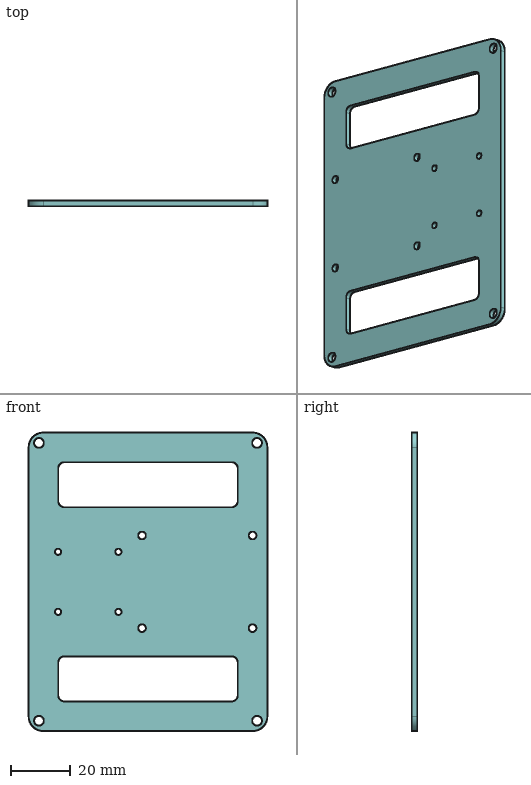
import cadquery as cq

WIDTH = 80.0
HEIGHT = 100.0
THICKNESS = 2.0
CORNER_RADIUS = 5.0

WINDOW_WIDTH = 60.0
WINDOW_HEIGHT = 15.0
WINDOW_RADIUS = 2.0
WINDOW_OFFSET_Z = 32.5

CORNER_HOLE_DIAMETER = 3.2
CORNER_HOLE_INSET = 3.5
CORNER_SPACING_X = WIDTH - 2 * CORNER_HOLE_INSET
CORNER_SPACING_Z = HEIGHT - 2 * CORNER_HOLE_INSET

LARGE_BOARD_HOLE_DIAMETER = 2.5
LARGE_BOARD_SPACING_X = 37.0
LARGE_BOARD_SPACING_Z = 31.0
LARGE_BOARD_CENTER_X = 16.5

SMALL_BOARD_HOLE_DIAMETER = 2.0
SMALL_BOARD_SPACING_X = 20.2
SMALL_BOARD_SPACING_Z = 20.1
SMALL_BOARD_CENTER_X = -20.0


def rounded_block(width, height, radius, center_z=0.0):
    """Plate-thick block in the XZ plane with rounded corners."""
    block = cq.Workplane("XY").box(width, THICKNESS, height)
    return block.edges("|Y").fillet(radius).translate((0, 0, center_z))


def hole_pattern(diameter, spacing_x, spacing_z, center_x=0.0):
    """Four through-hole cutters on a rectangle centred at mid-height."""
    return (
        cq.Workplane("XZ", origin=(center_x, THICKNESS / 2, 0))
        .rect(spacing_x, spacing_z, forConstruction=True)
        .vertices()
        .circle(diameter / 2)
        .extrude(THICKNESS)
    )


plate = rounded_block(WIDTH, HEIGHT, CORNER_RADIUS)

for window_center_z in (-WINDOW_OFFSET_Z, WINDOW_OFFSET_Z):
    window = rounded_block(WINDOW_WIDTH, WINDOW_HEIGHT, WINDOW_RADIUS, window_center_z)
    plate = plate.cut(window)

corner_holes = hole_pattern(CORNER_HOLE_DIAMETER, CORNER_SPACING_X, CORNER_SPACING_Z)
large_board_holes = hole_pattern(
    LARGE_BOARD_HOLE_DIAMETER,
    LARGE_BOARD_SPACING_X,
    LARGE_BOARD_SPACING_Z,
    LARGE_BOARD_CENTER_X,
)
small_board_holes = hole_pattern(
    SMALL_BOARD_HOLE_DIAMETER,
    SMALL_BOARD_SPACING_X,
    SMALL_BOARD_SPACING_Z,
    SMALL_BOARD_CENTER_X,
)

result = plate.cut(corner_holes).cut(large_board_holes).cut(small_board_holes)